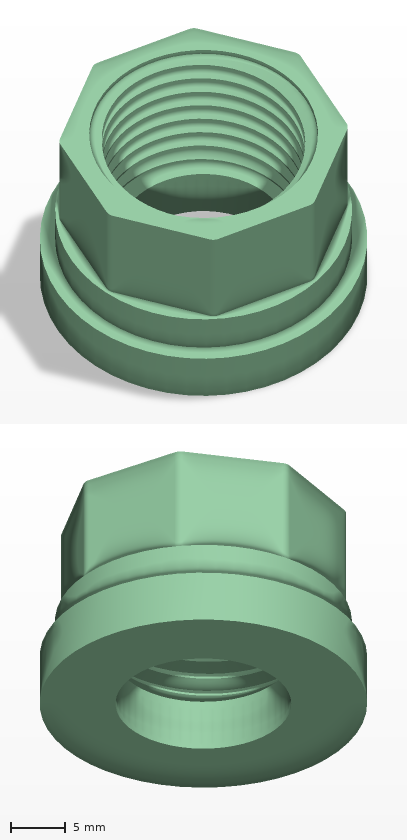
import cadquery as cq
import math

flange_diameter = 30.0
flange_height = 5.0
collar_diameter = 27.2
collar_height = 3.8

total_height = 19.1
across_flats = 24.6
corner_radius = 1.0
octagon_sides = 8

through_diameter = 16.1
thread_floor_z = flange_height

thread_minor_diameter = 18.63
thread_major_diameter = 20.95
thread_pitch = 1.814
thread_angle = 55.0
root_width = 0.4
mouth_depth = 0.5
groove_overlap = 0.1

collar_top_z = flange_height + collar_height
mouth_floor_z = total_height - mouth_depth


def cylinder(diameter, bottom_z, top_z):
    return cq.Workplane("XY", origin=(0, 0, bottom_z)).circle(diameter / 2).extrude(top_z - bottom_z)


def octagon_section():
    across_corners = across_flats / math.cos(math.pi / octagon_sides)
    return (
        cq.Workplane("XY", origin=(0, 0, collar_top_z))
        .transformed(rotate=(0, 0, 180 / octagon_sides))
        .polygon(octagon_sides, across_corners)
        .extrude(total_height - collar_top_z)
        .edges("|Z")
        .fillet(corner_radius)
    )


def thread_groove():
    """Helical groove whose root meets the mouth floor on the +X side."""
    root_radius = thread_major_diameter / 2
    opening_radius = thread_minor_diameter / 2 - groove_overlap
    half_root = root_width / 2
    half_opening = half_root + (root_radius - opening_radius) * math.tan(math.radians(thread_angle / 2))

    turns_past_floor = 1
    turns_above_mouth = 1
    turns_below_mouth = math.ceil((mouth_floor_z - thread_floor_z) / thread_pitch) + turns_past_floor
    start_z = mouth_floor_z - turns_below_mouth * thread_pitch
    helix_height = (turns_below_mouth + turns_above_mouth) * thread_pitch

    helix = cq.Wire.makeHelix(thread_pitch, helix_height, root_radius)
    groove = (
        cq.Workplane("XZ")
        .moveTo(root_radius, -half_root)
        .lineTo(root_radius, half_root)
        .lineTo(opening_radius, half_opening)
        .lineTo(opening_radius, -half_opening)
        .close()
        .sweep(cq.Workplane(helix), isFrenet=True)
        .translate((0, 0, start_z))
    )
    return groove.intersect(cylinder(flange_diameter, thread_floor_z, mouth_floor_z))


body = cylinder(flange_diameter, 0, flange_height)
body = body.union(cylinder(collar_diameter, flange_height, collar_top_z))
body = body.union(octagon_section())

body = body.cut(cylinder(through_diameter, 0, total_height))
body = body.cut(cylinder(thread_minor_diameter, thread_floor_z, total_height))
body = body.cut(thread_groove())
result = body.cut(cylinder(thread_major_diameter, mouth_floor_z, total_height))